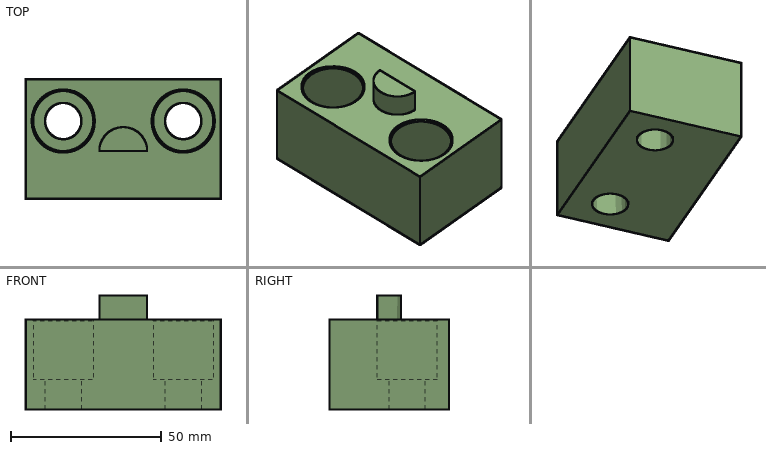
import cadquery as cq

length = 65
width = 40.0
height = 30.0

hole_spacing = 40.0
hole_y = 6.0
bore_diameter = 12.0
counterbore_diameter = 20.0
counterbore_depth = 20.0
rim_chamfer = 0.5

key_radius = 8.0
key_height = 8.0
key_flat_y = -4.0


def make_block():
    return cq.Workplane("XY").box(length, width, height, centered=(True, True, False))


def make_hole_cutter(x):
    """Revolved stepped hole with a chamfered rim at the top face."""
    bore_radius = bore_diameter / 2
    counterbore_radius = counterbore_diameter / 2
    floor_z = height - counterbore_depth
    profile = (
        cq.Workplane("XZ")
        .lineTo(bore_radius, 0)
        .lineTo(bore_radius, floor_z)
        .lineTo(counterbore_radius, floor_z)
        .lineTo(counterbore_radius, height - rim_chamfer)
        .lineTo(counterbore_radius + rim_chamfer, height)
        .lineTo(0, height)
        .close()
    )
    cutter = profile.revolve(360, (0, 0), (0, 1))
    return cutter.translate((x, hole_y, 0))


def make_key():
    return (
        cq.Workplane("XY", origin=(0, key_flat_y, height))
        .moveTo(key_radius, 0)
        .threePointArc((0, key_radius), (-key_radius, 0))
        .close()
        .extrude(key_height)
    )


result = make_block()
for side in (-1, 1):
    result = result.cut(make_hole_cutter(side * hole_spacing / 2))
result = result.union(make_key())